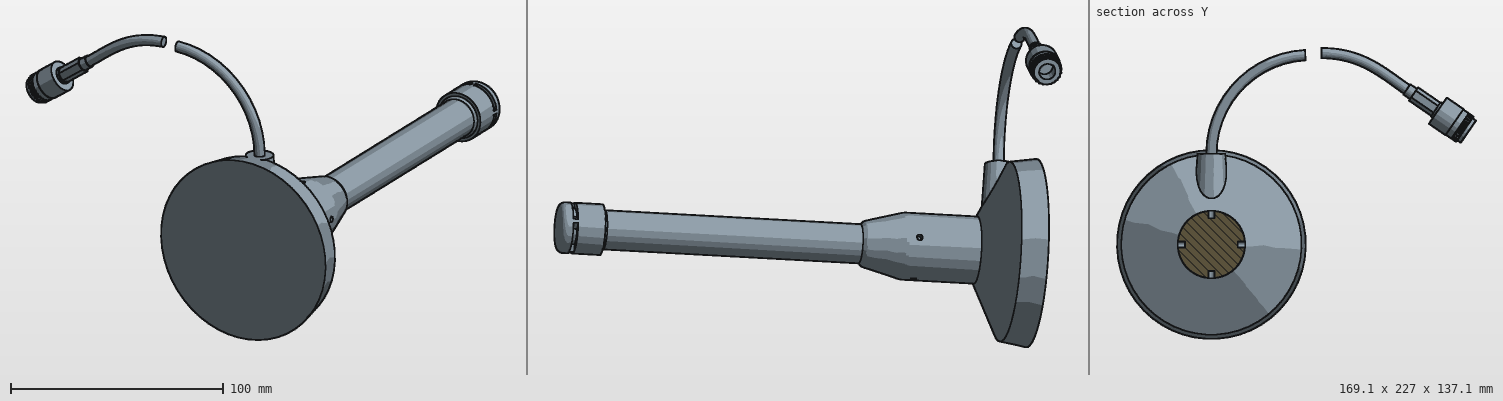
import cadquery as cq
import math

base_radius = 44.5
drum_top_radius = 42.5
drum_height = 12.7
cone_top = 26.8
boss_end_z = 42.7
boss_end_radius = 6.5
boss_taper = 4.0
boss_depth = 25.0

column_radius = 16.0
taper_start = 62.0
taper_blend_radius = 5.0
taper_end = 80.5
taper_end_radius = 11.0
collar_blend_radius = 1.1
column_top = 82.5
screw_hole_diameter = 2.7
screw_hole_y = 56.5
screw_hole_depth = 3.5
screw_hole_count = 4

tube_radius = 9.3

head_bottom = 205.0
head_collar_radius = 10.5
head_step = 206.5
head_radius = 12.0
head_top = 227.0
head_edge_radius = 3.0
pocket_bottom = 219.5
pocket_height = 2.3
pocket_count = 4
web_outer_half_width = 1.0
web_root_half_width = 2.7

cable_radius = 2.5
cable_y = 15.7
base_cable_bend_radius = 46.5
base_cable_end_x = -44.3
lead_cable_end_x = -51.8
lead_cable_end_z = 90.1

connector_face_x = -121.0
connector_face_z = 53.1
connector_angle = 34.5
lip_radius = 6.4
lip_length = 2.0
knurl_radius = 7.3
knurl_end = 4.8
ring_end = 8.0
nut_radius = 7.5
nut_end = 17.5
neck_radius = 4.0
neck_end = 18.6
hex_across_flats = 6.5
hex_end = 31.3
ferrule_radius = 3.0
ferrule_end = 35.2
bore_radius = 3.9
bore_depth = 8.0
groove_count = 24
groove_width = 1.5
groove_depth = 0.7

clearance = 0.5

cos_angle = math.cos(math.radians(connector_angle))
sin_angle = math.sin(math.radians(connector_angle))


def start_profile(y):
    """Begin a (radius, y) half outline on the Y axis, with radius measured along +Z."""
    return cq.Workplane("ZY").moveTo(0, y)


def revolve_about_y(profile):
    """Close a (radius, y) half outline and turn it into a solid of revolution."""
    return profile.close().revolve(360, (0, 0, 0), (0, 1, 0))


def ring_edges(y, radius):
    """Selector for the full circle of the given radius at height y on the Y axis."""
    return cq.selectors.BoxSelector(
        (-radius - clearance, y - clearance, -radius - clearance),
        (radius + clearance, y + clearance, radius + clearance),
        boundingbox=True,
    )


def make_base():
    """Drum and cone, with the boss running from its flat end into the cone."""
    body = revolve_about_y(
        start_profile(0)
        .lineTo(base_radius, 0)
        .lineTo(drum_top_radius, drum_height)
        .lineTo(column_radius, cone_top)
        .lineTo(0, cone_top)
    )
    boss = (
        cq.Workplane("XY", origin=(0, cable_y, boss_end_z))
        .circle(boss_end_radius)
        .extrude(-boss_depth, taper=-boss_taper)
    )
    return body.union(boss)


def make_column():
    """Tapered column with shallow screw holes at quarter turns."""
    body = revolve_about_y(
        start_profile(cone_top)
        .lineTo(column_radius, cone_top)
        .lineTo(column_radius, taper_start)
        .lineTo(taper_end_radius, taper_end)
        .lineTo(tube_radius, column_top)
        .lineTo(0, column_top)
    )
    body = body.edges(ring_edges(taper_start, column_radius)).fillet(taper_blend_radius)
    body = body.edges(ring_edges(taper_end, taper_end_radius)).fillet(collar_blend_radius)
    hole = (
        cq.Workplane("XY", origin=(0, screw_hole_y, column_radius - screw_hole_depth))
        .circle(screw_hole_diameter / 2)
        .extrude(2 * screw_hole_depth)
    )
    for i in range(screw_hole_count):
        body = body.cut(hole.rotate((0, 0, 0), (0, 1, 0), i * 360 / screw_hole_count))
    return body


def make_tube():
    """Plain round tube between the column and the head."""
    return revolve_about_y(
        start_profile(column_top)
        .lineTo(tube_radius, column_top)
        .lineTo(tube_radius, head_bottom)
        .lineTo(0, head_bottom)
    )


def make_head():
    """Cap with a conical collar, a rounded top edge and a ring of pockets."""
    body = revolve_about_y(
        start_profile(head_bottom)
        .lineTo(tube_radius, head_bottom)
        .lineTo(head_collar_radius, head_step)
        .lineTo(head_radius, head_step)
        .lineTo(head_radius, head_top)
        .lineTo(0, head_top)
    )
    body = body.faces(">Y").edges().fillet(head_edge_radius)
    return body.cut(make_head_pockets())


def make_head_pockets():
    """Ring of pockets down to the tube radius, leaving a web on each of the X and Z directions."""
    pocket_plane = cq.Workplane("XZ", origin=(0, pocket_bottom, 0))
    pockets = (
        pocket_plane.circle(head_radius + clearance)
        .circle(tube_radius)
        .extrude(-pocket_height)
    )
    inner = tube_radius - clearance
    outer = head_radius + 2 * clearance
    slope = (web_outer_half_width - web_root_half_width) / (head_radius - tube_radius)
    inner_half_width = web_root_half_width + slope * (inner - tube_radius)
    outer_half_width = web_root_half_width + slope * (outer - tube_radius)
    web = (
        pocket_plane.moveTo(inner, -inner_half_width)
        .lineTo(inner, inner_half_width)
        .lineTo(outer, outer_half_width)
        .lineTo(outer, -outer_half_width)
        .close()
        .extrude(-pocket_height)
    )
    for i in range(pocket_count):
        pockets = pockets.cut(web.rotate((0, 0, 0), (0, 1, 0), i * 360 / pocket_count))
    return pockets


def make_base_cable():
    """Leaves the boss along +Z and bends over toward -X."""
    bend_center_x = -base_cable_bend_radius
    end_angle = math.acos((base_cable_end_x - bend_center_x) / base_cable_bend_radius)

    def bend_point(angle):
        return (
            bend_center_x + base_cable_bend_radius * math.cos(angle),
            boss_end_z + base_cable_bend_radius * math.sin(angle),
        )

    path = (
        cq.Workplane("XZ", origin=(0, cable_y, 0))
        .moveTo(0, boss_end_z)
        .threePointArc(bend_point(end_angle / 2), bend_point(end_angle))
    )
    return cq.Workplane("XY", origin=(0, cable_y, boss_end_z)).circle(cable_radius).sweep(path)


def make_lead_cable():
    """Smooth bend that leaves the connector along its axis and ends level along +X."""
    start_x = connector_face_x + ferrule_end * cos_angle
    start_z = connector_face_z + ferrule_end * sin_angle
    path = (
        cq.Workplane("XZ", origin=(0, cable_y, 0))
        .moveTo(start_x, start_z)
        .spline(
            [(lead_cable_end_x, lead_cable_end_z)],
            tangents=[(cos_angle, sin_angle), (1, 0)],
            includeCurrent=True,
        )
    )
    section_plane = cq.Plane((start_x, cable_y, start_z), (0, 1, 0), (cos_angle, 0, sin_angle))
    return cq.Workplane(section_plane).circle(cable_radius).sweep(path)


def make_connector():
    """Knurled coupling nut, hex and ferrule along a local Z axis, then set on the tilted cable axis."""
    def cylinder(radius, start, end):
        return cq.Workplane("XY").workplane(offset=start).circle(radius).extrude(end - start)

    body = cylinder(lip_radius, 0, lip_length)
    body = body.union(cylinder(knurl_radius, lip_length, ring_end).cut(make_knurl_grooves()))
    body = body.union(cylinder(nut_radius, ring_end, nut_end))
    body = body.union(cylinder(neck_radius, nut_end, neck_end))
    hexagon = (
        cq.Workplane("XY")
        .workplane(offset=neck_end)
        .polygon(6, hex_across_flats, circumscribed=True)
        .extrude(hex_end - neck_end)
    )
    body = body.union(hexagon)
    body = body.union(cylinder(ferrule_radius, hex_end, ferrule_end))
    body = body.cut(cylinder(bore_radius, 0, bore_depth))

    axis_plane = cq.Plane(
        origin=(connector_face_x, cable_y, connector_face_z),
        xDir=(0, 1, 0),
        normal=(cos_angle, 0, sin_angle),
    )
    return cq.Workplane(body.val().moved(cq.Location(axis_plane)))


def make_knurl_grooves():
    """Axial V-grooves spaced evenly around the knurled ring."""
    groove = (
        cq.Workplane("XY")
        .workplane(offset=lip_length)
        .polyline([
            (knurl_radius - groove_depth, 0),
            (knurl_radius, groove_width / 2),
            (knurl_radius + groove_depth, 0),
            (knurl_radius, -groove_width / 2),
        ])
        .close()
        .extrude(knurl_end - lip_length)
    )
    grooves = [
        groove.rotate((0, 0, 0), (0, 0, 1), i * 360 / groove_count).val()
        for i in range(groove_count)
    ]
    return cq.Workplane(cq.Compound.makeCompound(grooves))


base = make_base()
column = make_column()
tube = make_tube()
head = make_head()
base_cable = make_base_cable()
lead_cable = make_lead_cable()
connector = make_connector()

result = cq.Compound.makeCompound([
    base.val(),
    column.val(),
    tube.val(),
    head.val(),
    base_cable.val(),
    lead_cable.val(),
    connector.val(),
])